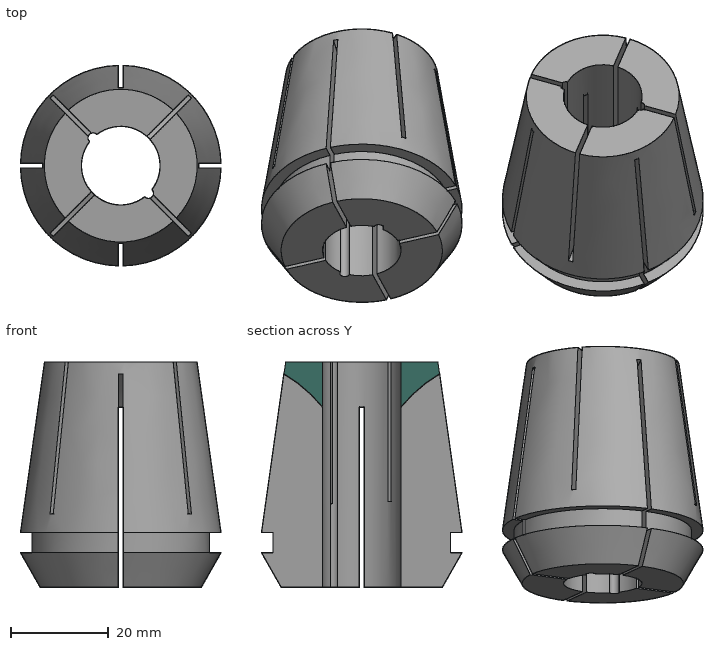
import cadquery as cq
import math

height = 46.0
max_radius = 20.495
top_radius = 15.6
groove_radius = 18.12
bottom_radius = 16.45
bore_radius = 8.0
flange_height = 7.1
cone_base_z = 11.2

slot_width = 0.9
cutter_radius = 29.0
slot_count = 4
overrun = 2.3
lower_slot_outer_z = 43.55
lower_slot_inner_z = 36.75
upper_slot_outer_z = 15.0
upper_slot_inner_z = 17.53

relief_radius = 1.0
relief_angles = (135, 315)


def cone_radius(z):
    """Outer radius of the main taper at height z."""
    fraction = (z - cone_base_z) / (height - cone_base_z)
    return max_radius + fraction * (top_radius - max_radius)


def arc_middle(start, end, bulge_sign):
    """Middle of the cutter arc, offset up (+1) or down (-1) from its chord."""
    dx = end[0] - start[0]
    dz = end[1] - start[1]
    chord = math.hypot(dx, dz)
    sagitta = cutter_radius - math.sqrt(cutter_radius**2 - (chord / 2) ** 2)
    offset = bulge_sign * sagitta / chord
    return ((start[0] + end[0]) / 2 - dz * offset, (start[1] + end[1]) / 2 + dx * offset)


def slot_cutter(inner_z, outer_z, open_end_z, bulge_sign):
    """Slot along +X, from its curved floor to beyond one end of the body."""
    inner = (bore_radius, inner_z)
    outer = (cone_radius(outer_z), outer_z)
    inside_x = bore_radius - overrun
    outside_x = max_radius + overrun
    return (
        cq.Workplane("XZ")
        .moveTo(inside_x, open_end_z)
        .lineTo(inside_x, inner_z)
        .lineTo(*inner)
        .threePointArc(arc_middle(inner, outer, bulge_sign), outer)
        .lineTo(outside_x, outer_z)
        .lineTo(outside_x, open_end_z)
        .close()
        .extrude(slot_width / 2, both=True)
    )


body_profile = [
    (bore_radius, 0),
    (bottom_radius, 0),
    (max_radius, flange_height),
    (groove_radius, flange_height),
    (groove_radius, cone_base_z),
    (max_radius, cone_base_z),
    (top_radius, height),
    (bore_radius, height),
]
result = cq.Workplane("XZ").polyline(body_profile).close().revolve(360, (0, 0, 0), (0, 1, 0))

lower_slot = slot_cutter(lower_slot_inner_z, lower_slot_outer_z, -overrun, 1)
upper_slot = slot_cutter(upper_slot_inner_z, upper_slot_outer_z, height + overrun, -1)
slot_pitch = 360 / slot_count
for index in range(slot_count):
    angle = index * slot_pitch
    result = result.cut(lower_slot.rotate((0, 0, 0), (0, 0, 1), angle))
    result = result.cut(upper_slot.rotate((0, 0, 0), (0, 0, 1), angle + slot_pitch / 2))

relief = cq.Workplane("XY").center(bore_radius, 0).circle(relief_radius).extrude(height)
for angle in relief_angles:
    result = result.cut(relief.rotate((0, 0, 0), (0, 0, 1), angle))